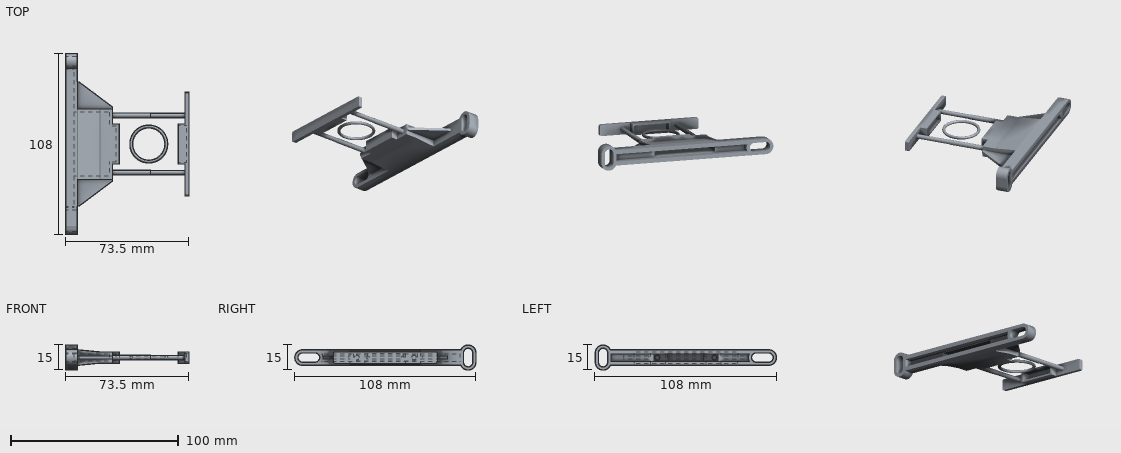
import cadquery as cq


bar_length = 108.0
bar_depth = 7.0
bar_height = 9.4
slot_wall = 2.0
upright_eye_height = 15.0
flat_eye_length = 16.8

window_height = 4.5
window_depth = 5.0

wing_thickness = 1.6
wing_flat_end = 8.0
wing_root_half_width = 37.0
wing_tip_half_width = 22.0

body_front = 28.0
body_half_width = 21.0
body_root_height = bar_height
body_height = 6.8
taper_end = 20.5
body_side_wall = 2.0
front_wall = 2.0
cavity_height = 4.0

nose_length = 4.0
nose_width = 24.0
nose_recess_width = 21.25

rod_spacing = 34.0
tube_diameter = 3.0
tube_end = 50.5
pin_diameter = 2.7

plate_back = 73.5
plate_thickness = 2.5
plate_length = 62.0
plate_corner_radius = 1.0
block_length = 4.0
block_wall = 1.0
recess_depth = 5.0

ring_center_x = 49.5
ring_outer_diameter = 22.7
ring_wire_diameter = 1.8

bar_half_length = bar_length / 2
upright_eye_y = bar_half_length - bar_height / 2
flat_eye_y = -bar_half_length + flat_eye_length / 2
window_left_end = bar_half_length - bar_height
cavity_front = body_front - front_wall
nose_front = body_front + nose_length
plate_front = plate_back - plate_thickness
block_front = plate_front - block_length
rod_y_places = [-rod_spacing / 2, rod_spacing / 2]


def box_between(x_start, x_end, width, height, y_center=0):
    """Block from x_start to x_end, centred on Z = 0."""
    sketch = cq.Workplane("YZ", origin=(x_start, y_center, 0)).rect(width, height)
    return sketch.extrude(x_end - x_start)


def rod_between(x_start, x_end, diameter, y_center):
    """Round rod running along X."""
    sketch = cq.Workplane("YZ", origin=(x_start, y_center, 0)).circle(diameter / 2)
    return sketch.extrude(x_end - x_start)


def eye(y_center, length, width, angle):
    """Rounded-end prism through the depth of the bar."""
    sketch = cq.Workplane("YZ", origin=(0, y_center, 0)).slot2D(length, width, angle)
    return sketch.extrude(bar_depth)


def flat_eye(inset=0):
    """Eye at the -Y end, long along Y; the inset shrinks it to its slot."""
    return eye(flat_eye_y, flat_eye_length - 2 * inset, bar_height - 2 * inset, 0)


def upright_eye(inset=0):
    """Eye at the +Y end, long along Z; the inset shrinks it to its slot."""
    return eye(upright_eye_y, upright_eye_height - 2 * inset, bar_height - 2 * inset, 90)


def make_bar():
    beam_length = upright_eye_y - flat_eye_y
    beam = box_between(0, bar_depth, beam_length, bar_height, (upright_eye_y + flat_eye_y) / 2)
    window_length = window_left_end - flat_eye_y
    window = box_between(0, window_depth, window_length, window_height, flat_eye_y + window_length / 2)
    bar = beam.cut(window).union(upright_eye()).union(flat_eye())
    return bar.cut(upright_eye(slot_wall)).cut(flat_eye(slot_wall))


def make_wings():
    outline = [
        (bar_depth, -wing_root_half_width),
        (wing_flat_end, -wing_root_half_width),
        (body_front, -wing_tip_half_width),
        (body_front, wing_tip_half_width),
        (wing_flat_end, wing_root_half_width),
        (bar_depth, wing_root_half_width),
    ]
    return cq.Workplane("XY").polyline(outline).close().extrude(wing_thickness / 2, both=True)


def make_tapered_body():
    outline = [
        (bar_depth, -body_root_height / 2),
        (taper_end, -body_height / 2),
        (body_front, -body_height / 2),
        (body_front, body_height / 2),
        (taper_end, body_height / 2),
        (bar_depth, body_root_height / 2),
    ]
    return cq.Workplane("XZ").polyline(outline).close().extrude(body_half_width, both=True)


def make_housing():
    nose = box_between(body_front, nose_front, nose_width, body_height)
    cavity_width = 2 * (body_half_width - body_side_wall)
    cavity = box_between(window_depth, cavity_front, cavity_width, cavity_height)
    nose_recess = box_between(cavity_front, nose_front - front_wall, nose_recess_width, cavity_height)
    housing = make_bar().union(make_wings()).union(make_tapered_body()).union(nose)
    housing = housing.cut(cavity).cut(nose_recess)
    for rod_y in rod_y_places:
        housing = housing.cut(rod_between(cavity_front, body_front, tube_diameter, rod_y))
    return housing


def make_pin(rod_y):
    return rod_between(cavity_front, plate_front, pin_diameter, rod_y)


def make_tube(rod_y):
    return rod_between(cavity_front, tube_end, tube_diameter, rod_y).cut(make_pin(rod_y))


def make_end_plate():
    plate = box_between(plate_front, plate_back, plate_length, body_height)
    plate = plate.edges("|X").fillet(plate_corner_radius)
    block = box_between(block_front, plate_front, nose_width, body_height)
    recess_width = nose_width - 2 * block_wall
    recess_height = body_height - 2 * block_wall
    recess = box_between(block_front, block_front + recess_depth, recess_width, recess_height)
    end_plate = plate.union(block).cut(recess)
    for rod_y in rod_y_places:
        end_plate = end_plate.union(make_pin(rod_y))
    return end_plate


def make_ring():
    wire_path_radius = (ring_outer_diameter - ring_wire_diameter) / 2
    ring_solid = cq.Solid.makeTorus(wire_path_radius, ring_wire_diameter / 2)
    return cq.Workplane(ring_solid.translate(cq.Vector(ring_center_x, 0, 0)))


housing = make_housing()
tubes = [make_tube(rod_y) for rod_y in rod_y_places]
end_plate = make_end_plate()
ring = make_ring()

result = cq.Compound.makeCompound(
    [housing.val(), *[tube.val() for tube in tubes], end_plate.val(), ring.val()]
)